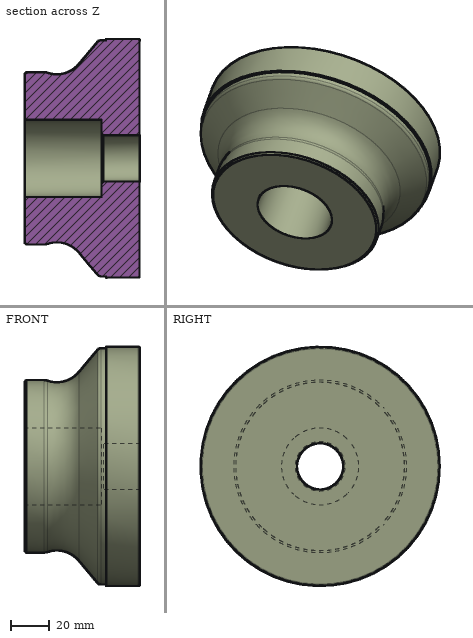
import cadquery as cq
import math

length = 60.0
flange_radius = 62.3
flange_start = 42.4

flange_taper_length = 0.4
flange_taper_drop = 0.1
flange_back_round = 1.0

shoulder_radius = 61.5
shoulder_round = 2.2

cone_angle = 50.0

hub_radius = 45.0
hub_chamfer = 1.0
hub_round = 5.0

neck_round = 15.0
neck_min_radius = 43.9
neck_min_x = 16.8

bore_radius = 20.0
bore_depth = 40.0
hole_radius = 12.0
hole_chamfer = 1.0

hub_turn = math.acos(1 - (hub_radius - neck_min_radius) / (hub_round + neck_round))
hub_end = neck_min_x - (hub_round + neck_round) * math.sin(hub_turn)
cone_turn = math.radians(cone_angle)


def neck_point(turn):
    """Point on the neck round, turned by an angle in radians from its narrowest place."""
    x = neck_min_x + neck_round * math.sin(turn)
    r = neck_min_radius + neck_round * (1 - math.cos(turn))
    return x, r


def revolve_about_x(profile):
    return profile.close().revolve(360, (0, 0, 0), (1, 0, 0))


def body():
    """Solid outer shape: hub, neck, cone, shoulder and flange."""
    cone_start_x, cone_start_radius = neck_point(cone_turn)
    cone_end_radius = shoulder_radius - shoulder_round * (1 - math.cos(cone_turn))
    cone_end_x = cone_start_x + (cone_end_radius - cone_start_radius) / math.tan(cone_turn)
    shoulder_start = cone_end_x + shoulder_round * math.sin(cone_turn)
    profile = (
        cq.Workplane("XY")
        .lineTo(0, hub_radius - hub_chamfer)
        .lineTo(hub_chamfer, hub_radius)
        .lineTo(hub_end, hub_radius)
        .tangentArcPoint(neck_point(-hub_turn), relative=False)
        .threePointArc(neck_point(0), (cone_start_x, cone_start_radius))
        .lineTo(cone_end_x, cone_end_radius)
        .tangentArcPoint((shoulder_start, shoulder_radius), relative=False)
        .lineTo(flange_start, shoulder_radius)
        .lineTo(flange_start, flange_radius - flange_taper_drop)
        .lineTo(flange_start + flange_taper_length, flange_radius)
        .lineTo(length - flange_back_round, flange_radius)
        .tangentArcPoint((length, flange_radius - flange_back_round), relative=False)
        .lineTo(length, 0)
    )
    return revolve_about_x(profile)


def bore():
    """Wide front bore, then a chamfered hole through to the back face."""
    profile = (
        cq.Workplane("XY")
        .lineTo(0, bore_radius)
        .lineTo(bore_depth, bore_radius)
        .lineTo(bore_depth, hole_radius + hole_chamfer)
        .lineTo(bore_depth + hole_chamfer, hole_radius)
        .lineTo(length, hole_radius)
        .lineTo(length, 0)
    )
    return revolve_about_x(profile)


result = body().cut(bore())